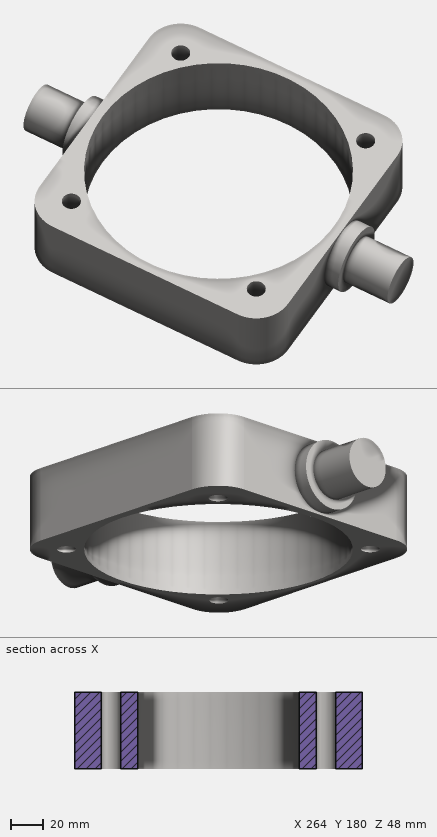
import cadquery as cq

overall_length = 264.0
body_side = 180.0
body_height = 48.0
corner_radius = 23.0
bore_diameter = 168.0
bolt_hole_diameter = 12.0
collar_diameter = 45.0
collar_length = 10.0
journal_diameter = 32.0

bolt_spacing = body_side - 2 * corner_radius
trunnion_length = (overall_length - body_side) / 2


def make_body():
    """Square block with rounded corners, centred on the origin."""
    block = cq.Workplane("XY").box(body_side, body_side, body_height)
    return block.edges("|Z").fillet(corner_radius)


def make_trunnion(side):
    """Collar and journal pointing along X; side is +1 or -1."""
    face = cq.Workplane("YZ", origin=(side * body_side / 2, 0, 0))
    collar = face.circle(collar_diameter / 2).extrude(side * collar_length)
    journal = face.circle(journal_diameter / 2).extrude(side * trunnion_length)
    return collar.union(journal)


result = make_body()
for side in (-1, 1):
    result = result.union(make_trunnion(side))

result = result.faces(">Z").workplane(origin=(0, 0, 0)).hole(bore_diameter)
result = (
    result.faces(">Z")
    .workplane(origin=(0, 0, 0))
    .rect(bolt_spacing, bolt_spacing, forConstruction=True)
    .vertices()
    .hole(bolt_hole_diameter)
)